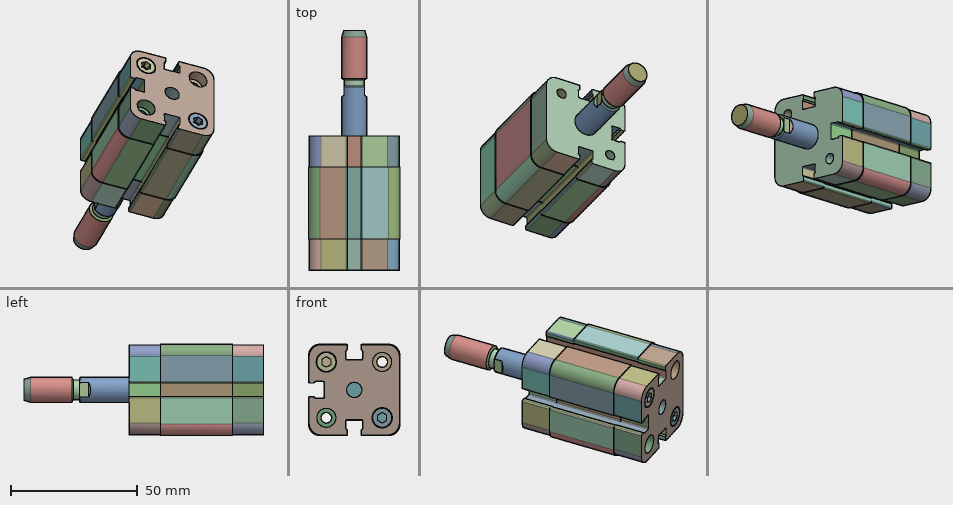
import cadquery as cq
import math


barrel_size = 36.1
cap_inset = 0.3
cap_size = barrel_size - 2 * cap_inset
cap_length = 12.25
barrel_length = 28.5
body_length = barrel_length + 2 * cap_length
corner_radius = 4.6

slot_neck_width = 5.4
slot_width = 6.6
slot_depth = 6.05
slot_neck_depth = 1.95
slot_lip_radius = 0.5
slot_floor_radius = 0.4
slot_shoulder = (slot_width - slot_neck_width) / 2
slot_overshoot = 1.0

hole_offset = 11.0
through_diameter = 4.13
counterbore_diameter = 7.5
counterbore_depth = 4.7
port_diameter = 6.0
port_depth = 8.0

screw_seat_diameter = 8.0
screw_head_diameter = 7.5
screw_head_height = 4.0
socket_flats = 3.6
socket_depth = 3.0

rod_diameter = 10.0
total_length = 94.5
tip_diameter = 8.4
tip_chamfer_length = 2.65
thread_length = 19.5
relief_diameter = 7.9
relief_length = 2.45
thread_end_cone_length = 0.6
shoulder_fillet = 0.5
flats_width = 8.15
flats_length = 3.5


def slot_cutter(face_distance):
    """T-slot opening upward through the face at face_distance from the axis, along the whole body."""
    neck = slot_neck_width / 2
    half = slot_width / 2
    floor = face_distance - slot_depth
    neck_end = face_distance - slot_neck_depth
    above = face_distance + slot_overshoot
    return (
        cq.Workplane("XZ")
        .polyline([
            (-half, floor),
            (half, floor),
            (half, neck_end - slot_shoulder),
            (neck, neck_end),
            (neck, above),
            (-neck, above),
            (-neck, neck_end),
            (-half, neck_end - slot_shoulder),
        ])
        .close()
        .extrude(-body_length)
        .edges("|Y and <Z")
        .fillet(slot_floor_radius)
    )


def lip_cutter(face_distance, side):
    """Sliver that rounds one lip of the slot neck; side is -1 or 1."""
    edge = side * slot_neck_width / 2
    tangent = edge + side * slot_lip_radius
    arc_middle = slot_lip_radius * (1 - math.sqrt(0.5))
    return (
        cq.Workplane("XZ")
        .moveTo(edge, face_distance - slot_lip_radius)
        .threePointArc((edge + side * arc_middle, face_distance - arc_middle), (tangent, face_distance))
        .lineTo(edge, face_distance)
        .close()
        .extrude(-body_length)
    )


def section(size, start, length):
    """Rounded square block with T-slots on the top, the bottom and the -X side."""
    block = (
        cq.Workplane("XZ", origin=(0, start, 0))
        .rect(size, size)
        .extrude(-length)
        .edges("|Y")
        .fillet(corner_radius)
    )
    cutter = slot_cutter(size / 2)
    for side in (-1, 1):
        cutter = cutter.union(lip_cutter(size / 2, side))
    for angle in (0, 180, -90):
        block = block.cut(cutter.rotate((0, 0, 0), (0, 1, 0), angle))
    return block


def rear_cylinder(x, z, diameter, depth):
    """Cylinder that starts on the rear face and runs into the body."""
    return cq.Workplane("XZ", origin=(x, 0, z)).circle(diameter / 2).extrude(-depth)


def cut_mounting_hole(body, x, z):
    """Through hole with a counterbore in the rear face."""
    body = body.cut(rear_cylinder(x, z, through_diameter, body_length))
    return body.cut(rear_cylinder(x, z, counterbore_diameter, counterbore_depth))


def cut_screw(body, x, z):
    """Narrow ring around a flush screw head, and the socket in the head."""
    ring = rear_cylinder(x, z, screw_seat_diameter, screw_head_height).cut(
        rear_cylinder(x, z, screw_head_diameter, screw_head_height)
    )
    socket = (
        cq.Workplane("XZ", origin=(x, 0, z))
        .transformed(rotate=(0, 0, 90))
        .polygon(6, socket_flats / math.cos(math.pi / 6))
        .extrude(-socket_depth)
    )
    return body.cut(ring).cut(socket)


def piston_rod():
    """Rod turned about Y, with a relief groove behind the thread and two wrench flats on its X sides."""
    radius = rod_diameter / 2
    thread_end = total_length - thread_length
    shoulder = thread_end - relief_length
    rod = (
        cq.Workplane("XY")
        .moveTo(0, body_length)
        .lineTo(radius, body_length)
        .lineTo(radius, shoulder - shoulder_fillet)
        .tangentArcPoint((radius - shoulder_fillet, shoulder), relative=False)
        .lineTo(relief_diameter / 2, shoulder)
        .lineTo(relief_diameter / 2, thread_end)
        .lineTo(radius, thread_end + thread_end_cone_length)
        .lineTo(radius, total_length - tip_chamfer_length)
        .lineTo(tip_diameter / 2, total_length)
        .lineTo(0, total_length)
        .close()
        .revolve(360, (0, 0, 0), (0, 1, 0))
    )
    flat = flats_width / 2
    run_out = radius - flat
    flat_end = shoulder - flats_length
    flat_cutter = (
        cq.Workplane("XY")
        .polyline([
            (flat, shoulder),
            (flat, flat_end),
            (radius, flat_end - run_out),
            (radius, shoulder),
        ])
        .close()
        .extrude(radius, both=True)
    )
    return rod.cut(flat_cutter).cut(flat_cutter.mirror("YZ"))


def cylinder():
    """Barrel between two caps, with the rear face holes, the cap screws and the rod."""
    body = section(cap_size, 0, cap_length)
    body = body.union(section(barrel_size, cap_length, barrel_length))
    body = body.union(section(cap_size, cap_length + barrel_length, cap_length))
    for side in (-1, 1):
        body = cut_mounting_hole(body, side * hole_offset, side * hole_offset)
        body = cut_screw(body, side * hole_offset, -side * hole_offset)
    body = body.cut(rear_cylinder(0, 0, port_diameter, port_depth))
    return body.union(piston_rod())


result = cylinder()